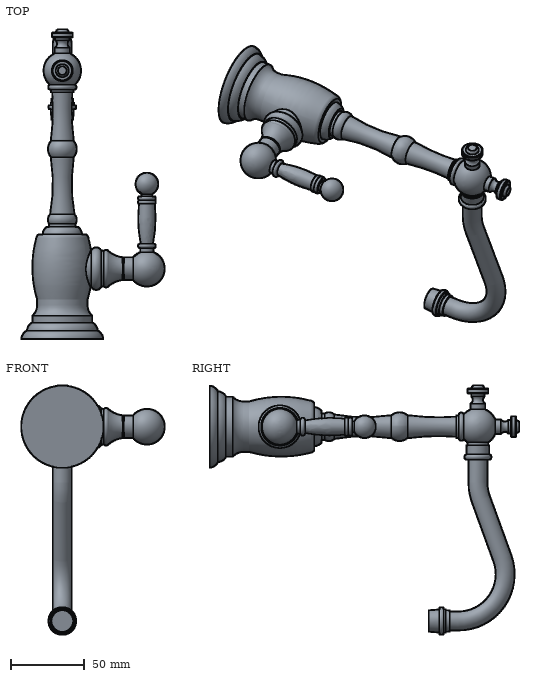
import cadquery as cq
import math


AXIS_X = cq.Vector(1, 0, 0)
AXIS_Y = cq.Vector(0, 1, 0)
AXIS_Z = cq.Vector(0, 0, 1)

round_out = 0.25
hollow_in = -0.28

total_height = 209.5
knob_reach = 28.0
hub_height = total_height - knob_reach
hub_radius = 12.8
handle_height = 47.5
handle_reach = 57.2

base_radius = 27.9
base_top = 5.5
base_top_radius = 24.5
plinth_radius = 24.0
plinth_top = 11.1
plinth_top_radius = 20.7
collar_radius = 20.3
collar_top = 15.7
waist_radius = 17.2
waist_bottom = 22.6

barrel_bottom = 26.8
barrel_top = 68.0
barrel_top_radius = 17.8
barrel_radius = 20.3
shoulder_top = 70.8
shoulder_radius = 16.0
dome_radius = 13.5
dome_top = 75.9
dome_top_radius = 10.7

stem_neck_radius = 9.0
stem_bead_bottom = 78.0
stem_bead_top = 84.3
stem_bead_radius = 9.9
stem_foot_radius = 8.4
stem_radius = 7.8
stem_waist_radius = 6.5
knuckle_bottom = 123.0
knuckle_top = 134.0
knuckle_radius = 9.9
knuckle_land = 1.3
stem_ring_bottom = 168.5
stem_ring_top = 172.0
stem_ring_radius = 9.6
stem_top_land = 1.7
stem_top_radius = 7.0

knob_stem_radius = 5.0
knob_stem_top = 16.3
knob_stem_chamfer = 0.8
knob_neck_radius = 3.5
knob_flange_radius = 4.6
knob_flange_bottom = 20.5
knob_disc_bottom = 22.2
knob_disc_top = 26.0
knob_disc_radius = 7.1
knob_disc_round = 0.6
knob_cap_radius = 4.5
knob_tip_radius = 3.0

spout_radius = 6.5
spout_neck_radius = 7.1
spout_sleeve_top = 12.5
spout_sleeve_bottom = 18.7
spout_sleeve_radius = 7.8
spout_ring_bottom = 22.5
spout_ring_radius = 9.2
spout_lean = 20.0
spout_bend_depth = 37.7
spout_bend_radius = 33.0
spout_hook_radius = 31.6
spout_depth = 131.5

outlet_tube_end = 5.9
outlet_socket_radius = 7.3
outlet_socket_end = 8.4
outlet_collar_radius = 8.0
outlet_ring_start = 10.0
outlet_ring_end = 12.8
outlet_ring_edge_radius = 9.0
outlet_ring_radius = 9.5
outlet_tip_radius = 7.3
outlet_length = 20.1

handle_root = 10.5
handle_root_radius = 12.5
handle_bead_start = 19.7
handle_bead_end = 26.2
handle_bead_radius = 14.5
handle_lip_start = 28.0
handle_lip_end = 31.2
handle_lip_edge_radius = 12.0
handle_lip_radius = 12.8
bell_end = 40.9
bell_end_radius = 7.8
bell_mid_radius = 9.0
handle_gap = 0.8
handle_gap_radius = 4.0
handle_ball_radius = 12.2

lever_foot_radius = 4.6
lever_ring_bottom = 13.8
lever_ring_top = 17.0
lever_ring_radius = 6.0
lever_grip_top = 43.8
lever_grip_foot_radius = 4.2
lever_grip_radius = 5.9
lever_grip_top_radius = 5.5
lever_cuff_height = 2.5
lever_cuffs = 2
lever_cuff_radius = 6.0
lever_cuff_edge_radius = 5.7
lever_neck_radius = 3.8
lever_ball_centre = 57.2
lever_ball_radius = 7.8


def turned(origin, axis, radial, start, start_radius, steps):
    """Solid of revolution about an axis.

    Each step is (position, radius) for a straight stretch, or
    (position, radius, middle radius) for an arc through its halfway position.
    """
    plane = cq.Plane(origin=origin, xDir=radial, normal=radial.cross(axis))
    outline = cq.Workplane(plane).moveTo(0, start).lineTo(start_radius, start)
    position = start
    for step in steps:
        end, radius = step[:2]
        if len(step) == 3:
            outline = outline.threePointArc((step[2], (position + end) / 2), (radius, end))
        else:
            outline = outline.lineTo(radius, end)
        position = end
    return outline.lineTo(0, position).close().revolve(360, (0, 0), (0, 1))


def ball(centre, radius):
    return cq.Workplane("XY", origin=centre).sphere(radius)


def bulged(radius_a, radius_b, share):
    """Middle radius of a rounded stretch: the mean pushed out by a share of the change."""
    return (radius_a + radius_b) / 2 + share * abs(radius_a - radius_b)


def column():
    return turned((0, 0, 0), AXIS_Y, AXIS_X, 0, base_radius, [
        (base_top, base_top_radius, bulged(base_radius, base_top_radius, round_out)),
        (base_top, plinth_radius),
        (plinth_top, plinth_top_radius, bulged(plinth_radius, plinth_top_radius, round_out)),
        (plinth_top, collar_radius),
        (collar_top, collar_radius),
        (waist_bottom, waist_radius, bulged(collar_radius, waist_radius, hollow_in)),
        (barrel_bottom, waist_radius),
        (barrel_top, barrel_top_radius, barrel_radius),
        (shoulder_top, shoulder_radius, bulged(barrel_top_radius, shoulder_radius, round_out)),
        (shoulder_top, dome_radius),
        (dome_top, dome_top_radius, bulged(dome_radius, dome_top_radius, round_out)),
        (dome_top, stem_neck_radius),
        (stem_bead_bottom, stem_neck_radius),
        (stem_bead_top, stem_foot_radius, stem_bead_radius),
        (knuckle_bottom - knuckle_land, stem_radius, stem_waist_radius),
        (knuckle_bottom, stem_radius),
        (knuckle_top, stem_radius, knuckle_radius),
        (knuckle_top + knuckle_land, stem_radius),
        (stem_ring_bottom - stem_top_land, stem_top_radius, stem_waist_radius),
        (stem_ring_bottom - stem_top_land, stem_radius),
        (stem_ring_bottom, stem_radius),
        (stem_ring_top, stem_radius, stem_ring_radius),
        (hub_height, stem_radius),
    ])


def knob(axis):
    """Small knob that stands on the ball along the given axis."""
    return turned((0, hub_height, 0), axis, AXIS_X, 0, knob_stem_radius, [
        (knob_stem_top - knob_stem_chamfer, knob_stem_radius),
        (knob_stem_top, knob_stem_radius - knob_stem_chamfer),
        (knob_flange_bottom, knob_flange_radius, knob_neck_radius),
        (knob_disc_bottom, knob_flange_radius),
        (knob_disc_bottom, knob_disc_radius - knob_disc_round),
        (knob_disc_bottom + knob_disc_round, knob_disc_radius),
        (knob_disc_top - knob_disc_round, knob_disc_radius),
        (knob_disc_top, knob_disc_radius - knob_disc_round),
        (knob_disc_top, knob_cap_radius),
        (knob_reach, knob_tip_radius, bulged(knob_cap_radius, knob_tip_radius, round_out)),
    ])


def spout():
    """Collar under the ball and a tube that leans out and hooks back under the column."""
    collar = turned((0, hub_height, 0), -AXIS_Z, AXIS_X, 0, spout_neck_radius, [
        (spout_sleeve_top, spout_neck_radius),
        (spout_sleeve_top, spout_sleeve_radius),
        (spout_sleeve_bottom, spout_sleeve_radius),
        (spout_ring_bottom, spout_sleeve_radius, spout_ring_radius),
    ])

    lean = math.radians(spout_lean)
    bend_y = hub_height + spout_bend_radius * (1 - math.cos(lean))
    bend_z = -spout_bend_depth - spout_bend_radius * math.sin(lean)
    bend_mid = (
        hub_height + spout_bend_radius * (1 - math.cos(lean / 2)),
        -spout_bend_depth - spout_bend_radius * math.sin(lean / 2),
    )
    hook_z = -spout_depth + spout_hook_radius * (1 + math.sin(lean))
    hook_y = bend_y + (bend_z - hook_z) * math.tan(lean)
    centre_y = hook_y - spout_hook_radius * math.cos(lean)
    centre_z = -spout_depth + spout_hook_radius
    middle = (lean - math.pi / 2) / 2
    hook_mid = (
        centre_y + spout_hook_radius * math.cos(middle),
        centre_z + spout_hook_radius * math.sin(middle),
    )
    path = (
        cq.Workplane("YZ")
        .moveTo(hub_height, 0)
        .lineTo(hub_height, -spout_bend_depth)
        .threePointArc(bend_mid, (bend_y, bend_z))
        .lineTo(hook_y, hook_z)
        .threePointArc(hook_mid, (centre_y, -spout_depth))
    )
    tube = cq.Workplane("XY", origin=(0, hub_height, 0)).circle(spout_radius).sweep(path)

    outlet = turned((0, centre_y, -spout_depth), -AXIS_Y, AXIS_X, 0, spout_radius, [
        (outlet_tube_end, spout_radius),
        (outlet_tube_end, outlet_socket_radius),
        (outlet_socket_end, outlet_socket_radius),
        (outlet_socket_end, outlet_collar_radius),
        (outlet_ring_start, outlet_collar_radius),
        (outlet_ring_start, outlet_ring_edge_radius),
        (outlet_ring_end, outlet_ring_edge_radius, outlet_ring_radius),
        (outlet_ring_end, outlet_collar_radius),
        (outlet_length, outlet_tip_radius),
    ])
    return collar.union(tube).union(outlet)


def handle():
    """Bell-shaped boss on the side of the barrel, ending in a ball."""
    boss = turned((0, handle_height, 0), AXIS_X, AXIS_Y, handle_root, handle_root_radius, [
        (handle_bead_start, handle_root_radius),
        (handle_bead_end, handle_root_radius, handle_bead_radius),
        (handle_lip_start, handle_lip_edge_radius),
        (handle_lip_end, handle_lip_edge_radius, handle_lip_radius),
        (bell_end, bell_end_radius, bell_mid_radius),
        (bell_end, handle_gap_radius),
        (bell_end + handle_gap, handle_gap_radius),
        (bell_end + handle_gap, bell_end_radius),
        (handle_reach, bell_end_radius),
    ])
    return boss.union(ball((handle_reach, handle_height, 0), handle_ball_radius))


def lever():
    """Turned grip that rises from the handle ball and carries a smaller ball."""
    cuffs = [
        (lever_grip_top + (index + 1) * lever_cuff_height, lever_cuff_edge_radius, lever_cuff_radius)
        for index in range(lever_cuffs)
    ]
    cuff_top = cuffs[-1][0]
    grip = turned((handle_reach, handle_height, 0), AXIS_Y, AXIS_X, 0, lever_foot_radius, [
        (lever_ring_bottom, lever_foot_radius),
        (lever_ring_top, lever_foot_radius, lever_ring_radius),
        (lever_ring_top, lever_grip_foot_radius),
        (lever_grip_top, lever_grip_top_radius, lever_grip_radius),
        (lever_grip_top, lever_cuff_edge_radius),
        *cuffs,
        (cuff_top, lever_neck_radius),
        (lever_ball_centre, lever_neck_radius),
    ])
    tip = ball((handle_reach, handle_height + lever_ball_centre, 0), lever_ball_radius)
    return grip.union(tip)


hub = ball((0, hub_height, 0), hub_radius)
result = (
    column()
    .union(hub)
    .union(knob(AXIS_Y))
    .union(knob(AXIS_Z))
    .union(spout())
    .union(handle())
    .union(lever())
)